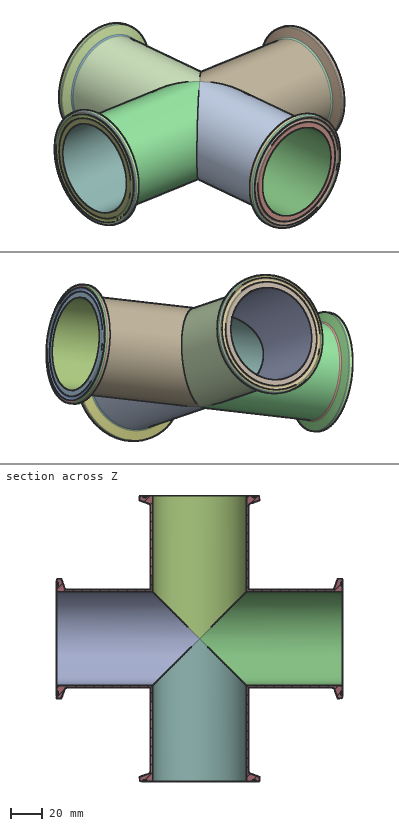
import cadquery as cq
import math

end_to_end = 184.2
tube_diameter = 63.5
bore_diameter = 60.2

ferrule_length = 13.0
flange_diameter = 77.3
rim_width = 3.1
rim_front_fillet = 0.7
rim_back_fillet = 0.4
clamp_angle = 20.0
neck_fillet = 1.1

groove_diameter = 70.5
groove_width = 2.8
groove_depth = 1.1
groove_edge_fillet = 0.4

half_length = end_to_end / 2
tube_radius = tube_diameter / 2
bore_radius = bore_diameter / 2
flange_radius = flange_diameter / 2
groove_inner_radius = (groove_diameter - groove_width) / 2
groove_outer_radius = (groove_diameter + groove_width) / 2
tube_end = half_length - ferrule_length

AXIS_START = (0, 0, 0)
X_AXIS_END = (1, 0, 0)
Z_AXIS_END = (0, 0, 1)


def circle_at(x, radius):
    """Select the circular edge around the X axis with this radius at this x."""
    slack = 0.1
    reach = radius + slack
    return cq.selectors.BoxSelector(
        (x - slack, -reach, -reach),
        (x + slack, reach, reach),
        boundingbox=True,
    )


def make_tube_run():
    """Solid cylinder along X, reaching from ferrule to ferrule."""
    return cq.Workplane("YZ").circle(tube_radius).extrude(tube_end, both=True)


def make_groove():
    """Ring with an arc section, sunk into the flange face at the +X end."""
    return (
        cq.Workplane("XY")
        .moveTo(half_length, groove_inner_radius)
        .threePointArc(
            (half_length - groove_depth, groove_diameter / 2),
            (half_length, groove_outer_radius),
        )
        .close()
        .revolve(360, AXIS_START, X_AXIS_END)
    )


def make_ferrule():
    """Solid ferrule on the +X end, with the gasket groove in its face."""
    rim_back = half_length - rim_width
    cone_length = (flange_radius - tube_radius) * math.tan(math.radians(clamp_angle))
    neck_end = rim_back - cone_length

    blank = (
        cq.Workplane("XY")
        .moveTo(tube_end, 0)
        .lineTo(tube_end, tube_radius)
        .lineTo(neck_end, tube_radius)
        .lineTo(rim_back, flange_radius)
        .lineTo(half_length, flange_radius)
        .lineTo(half_length, 0)
        .close()
        .revolve(360, AXIS_START, X_AXIS_END)
    )
    ferrule = blank.edges(circle_at(neck_end, tube_radius)).fillet(neck_fillet)
    ferrule = ferrule.edges(circle_at(rim_back, flange_radius)).fillet(rim_back_fillet)
    ferrule = ferrule.faces(">X").edges().fillet(rim_front_fillet)

    ferrule = ferrule.cut(make_groove())
    return ferrule.edges(circle_at(half_length, groove_outer_radius)).fillet(groove_edge_fillet)


def cut_bore(body, plane):
    """Bore the body from end to end, square to the given plane."""
    bore = cq.Workplane(plane).circle(bore_radius).extrude(half_length, both=True)
    return body.cut(bore)


tube_run = make_tube_run()
result = tube_run.union(tube_run.rotate(AXIS_START, Z_AXIS_END, 90))

ferrule = make_ferrule()
for angle in (0, 90, 180, 270):
    result = result.union(ferrule.rotate(AXIS_START, Z_AXIS_END, angle))

for plane in ("YZ", "XZ"):
    result = cut_bore(result, plane)